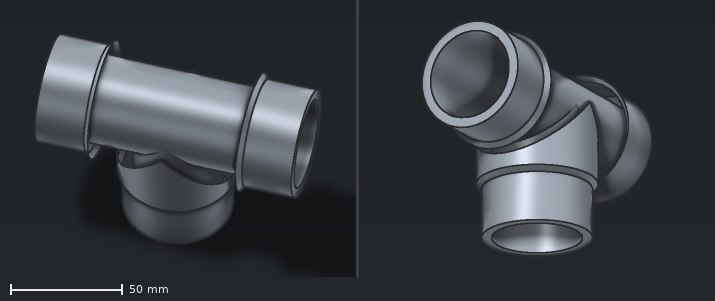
import cadquery as cq

run_length = 120.0
arm_length = run_length / 2
bore_diameter = 40.8
spigot_diameter = 50.0
body_diameter = 55.0
spigot_length = 23.0

body_reach = arm_length - spigot_length
body_chamfer = (body_diameter - spigot_diameter) / 2

run_start = cq.Plane(origin=(-arm_length, 0, 0), xDir=(0, 1, 0), normal=(1, 0, 0))
body_start = cq.Plane(origin=(-body_reach, 0, 0), xDir=(0, 1, 0), normal=(1, 0, 0))
branch_start = cq.Plane(origin=(0, 0, 0), xDir=(1, 0, 0), normal=(0, 0, -1))


def cylinder(plane, diameter, length):
    return cq.Workplane(plane).circle(diameter / 2).extrude(length)


def make_run():
    """Straight run: thick body chamfered at both ends, with a spigot at each end."""
    body = cylinder(body_start, body_diameter, 2 * body_reach)
    body = body.edges("%CIRCLE").chamfer(body_chamfer)
    return body.union(cylinder(run_start, spigot_diameter, run_length))


def make_branch():
    """Branch from the run axis down: chamfered thick body, then a spigot."""
    body = cylinder(branch_start, body_diameter, body_reach)
    body = body.faces("<Z").chamfer(body_chamfer)
    return body.union(cylinder(branch_start, spigot_diameter, arm_length))


def make_bores():
    """Through bore of the run joined by the bore of the branch."""
    run_bore = cylinder(run_start, bore_diameter, run_length)
    return run_bore.union(cylinder(branch_start, bore_diameter, arm_length))


result = make_run().union(make_branch()).cut(make_bores())